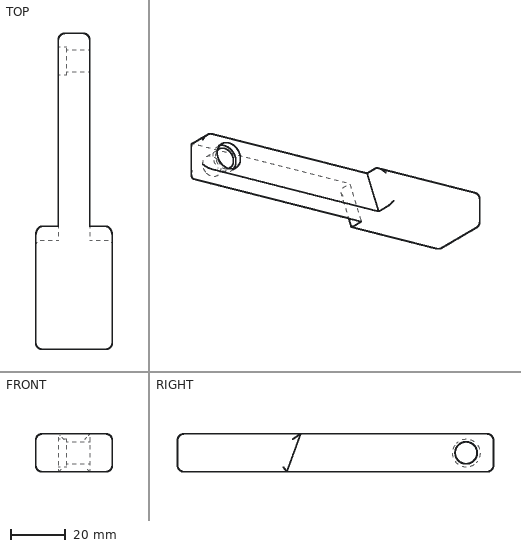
import cadquery as cq
import math

length = 115.3
height = 14.0
head_width = 28.0
shaft_width = 11.5

head_length_top = 45.0
shoulder_angle = 20.0
head_length_bottom = head_length_top - height * math.tan(math.radians(shoulder_angle))
edge_radius = 2.5

hole_from_end = 10.0
hole_diameter = 8.0
counterbore_diameter = 10.1
counterbore_depth = 3.0

front_y = -length / 2
back_y = length / 2


def make_head():
    """Block with a sloped back face, rounded everywhere except where the shoulders meet top and bottom."""
    profile = [
        (front_y, -height / 2),
        (front_y + head_length_bottom, -height / 2),
        (front_y + head_length_top, height / 2),
        (front_y, height / 2),
    ]
    block = cq.Workplane("YZ").polyline(profile).close().extrude(head_width / 2, both=True)
    side_edges = block.faces("<X or >X").edges()
    front_edges = block.faces("<Y").edges("|X")
    return block.newObject(side_edges.vals() + front_edges.vals()).fillet(edge_radius)


def make_shaft():
    """Straight bar with its free end rounded on all four edges; it starts inside the head."""
    start_y = front_y + head_length_bottom / 2
    bar = cq.Workplane("XY").box(shaft_width, back_y - start_y, height)
    bar = bar.faces(">Y").edges().fillet(edge_radius)
    return bar.translate((0, (start_y + back_y) / 2, 0))


def make_hole():
    """Through hole along X, counterbored from the -X side."""
    hole_y = back_y - hole_from_end
    plane = cq.Workplane("YZ", origin=(-shaft_width / 2, hole_y, 0))
    bore = plane.circle(hole_diameter / 2).extrude(shaft_width)
    counterbore = plane.circle(counterbore_diameter / 2).extrude(counterbore_depth)
    return bore.union(counterbore)


result = make_head().union(make_shaft()).cut(make_hole())